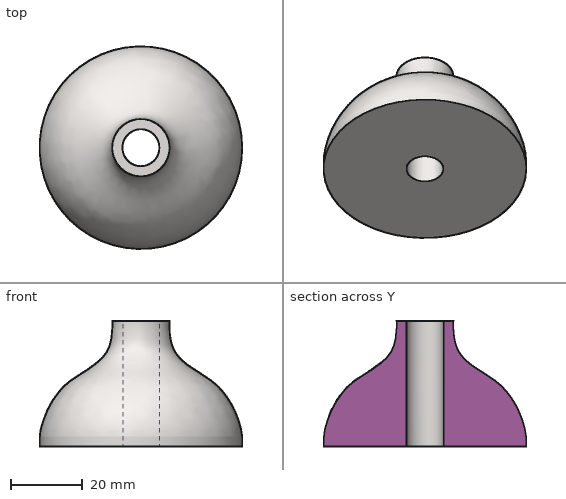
import cadquery as cq

base_diameter = 56.5
total_height = 35.0
rim_height = 2.75
neck_diameter = 16.0
bore_diameter = 10.2

rim_edge = (base_diameter / 2, rim_height)
lower_wall = (26.3, 9.6)
shoulder = (20.7, 17.5)
slope_top = (11.8, 23.7)
neck_flare = (9.4, 26.65)
neck_root = (8.35, 29.65)
neck_edge = (neck_diameter / 2, total_height)


def bell_profile():
    """Half section of the solid bell, radius along X and height along the local Y."""
    return (
        cq.Workplane("XZ")
        .lineTo(base_diameter / 2, 0)
        .lineTo(*rim_edge)
        .spline([lower_wall, shoulder, slope_top, neck_flare, neck_root, neck_edge], includeCurrent=True)
        .lineTo(0, total_height)
        .close()
    )


bell = bell_profile().revolve(360, (0, 0), (0, 1))

bore = cq.Workplane("XY").circle(bore_diameter / 2).extrude(total_height)

result = bell.cut(bore)